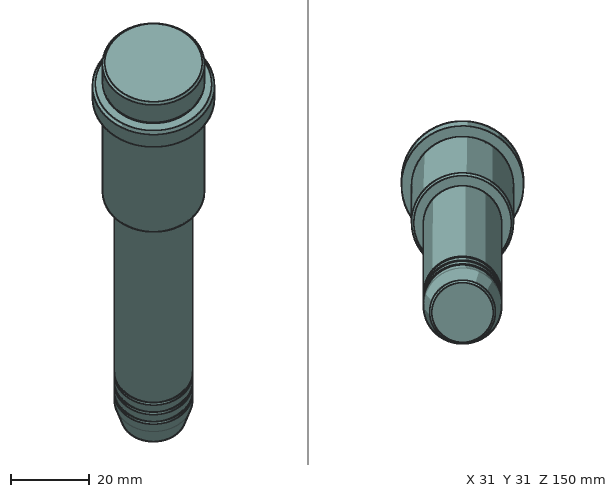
import cadquery as cq

length = 150.0
flange_diameter = 31.0
barrel_diameter = 26.0
shank_diameter = 20.0
tip_diameter = 16.5

flange_top = 141.0
flange_thickness = 6.0
flange_bottom = flange_top - flange_thickness
barrel_bottom = 95.0
taper_height = 7.0

groove_count = 3
groove_pitch = 4.0
groove_width = 1.0
groove_depth = 0.5
lowest_groove_bottom = 10.0

relief_width = 0.9
relief_depth = 0.5

tip_chamfer = 0.5
barrel_chamfer = 0.6
flange_chamfer = 0.8


def cylinder(diameter, bottom, top):
    """Solid cylinder on the Z axis between two heights."""
    return cq.Workplane("XY").workplane(offset=bottom).circle(diameter / 2).extrude(top - bottom)


def revolved_ring(profile):
    """Ring made by turning a closed (radius, height) profile around the Z axis."""
    return cq.Workplane("XZ").polyline(profile).close().revolve(360, (0, 0, 0), (0, 1, 0))


def vee_groove(bottom):
    """V-shaped cutting ring for the shank."""
    radius = shank_diameter / 2
    middle = bottom + groove_width / 2
    return revolved_ring([(radius, bottom), (radius - groove_depth, middle), (radius, bottom + groove_width)])


def relief(diameter, shoulder, width):
    """Cutting ring beside a shoulder, sloping out to full diameter; a negative width extends downward."""
    radius = diameter / 2
    floor_radius = radius - relief_depth
    slope_start = shoulder + width / 2
    return revolved_ring(
        [(radius, shoulder), (floor_radius, shoulder), (floor_radius, slope_start), (radius, shoulder + width)]
    )


tip = (
    cq.Workplane("XY")
    .circle(tip_diameter / 2)
    .workplane(offset=taper_height)
    .circle(shank_diameter / 2)
    .loft()
    .faces("<Z").edges().chamfer(tip_chamfer)
)

shank = cylinder(shank_diameter, taper_height, barrel_bottom)
barrel = cylinder(barrel_diameter, barrel_bottom, length).edges().chamfer(barrel_chamfer)
flange = cylinder(flange_diameter, flange_bottom, flange_top).faces(">Z").edges().chamfer(flange_chamfer)

for index in range(groove_count):
    groove_bottom = lowest_groove_bottom + index * groove_pitch
    shank = shank.cut(vee_groove(groove_bottom))
shank = shank.cut(relief(shank_diameter, barrel_bottom, -relief_width))

barrel = barrel.cut(relief(barrel_diameter, flange_top, relief_width))
barrel = barrel.cut(relief(barrel_diameter, flange_bottom, -relief_width))

result = tip.union(shank).union(barrel).union(flange)